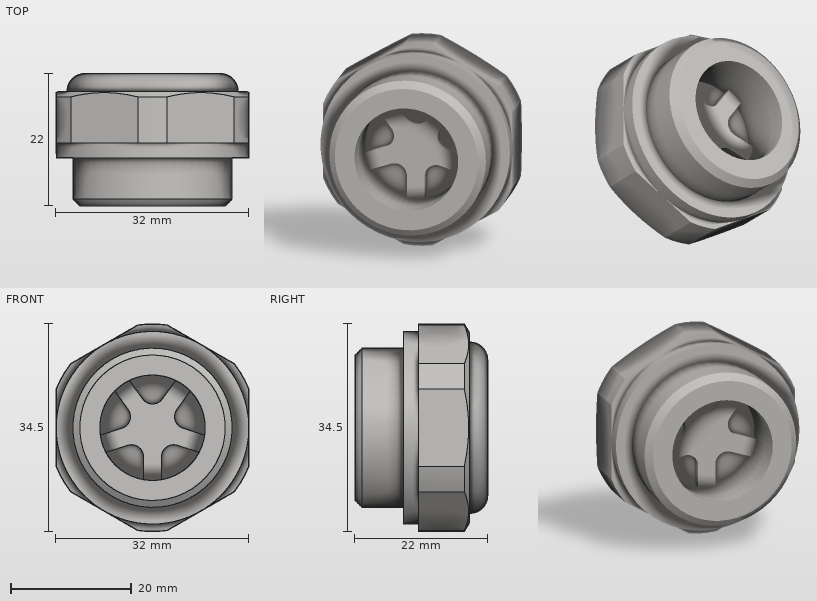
import cadquery as cq
import math

thread_diameter = 26.44
thread_length = 8.0
thread_chamfer = 1.15

flange_diameter = 32.0
flange_thickness = 2.5

hex_sides = 6
hex_across_flats = 32.0
hex_corner_diameter = 34.48
hex_height = 8.5
hex_crown_diameter = 31.4
hex_crown_angle = 30.0

dome_diameter = 28.44
dome_height = 3.0

bore_diameter = 17.5
bore_depth = 10.0

spoke_count = 5
spoke_width = 3.0
spoke_height = 1.5
spoke_corner_radius = 2.0

thread_end_y = -thread_length
hex_start_y = flange_thickness
hex_end_y = hex_start_y + hex_height
dome_end_y = hex_end_y + dome_height
bore_floor_y = thread_end_y + bore_depth
spoke_face_y = bore_floor_y - spoke_height


def cylinder(diameter, start_y, end_y):
    """Solid cylinder on the Y axis between two Y stations."""
    plane = cq.Workplane("XZ", origin=(0, start_y, 0))
    return plane.circle(diameter / 2).extrude(start_y - end_y)


def threaded_end():
    """Plain shank with a chamfered free end."""
    shank = cylinder(thread_diameter, thread_end_y, 0)
    return shank.faces("<Y").chamfer(thread_chamfer)


def hexagon():
    """Hexagon with flats facing +X and -X, rounded corners and a conical crown."""
    across_corners = hex_across_flats / math.cos(math.pi / hex_sides)
    prism = (
        cq.Workplane("XZ", origin=(0, hex_start_y, 0))
        .transformed(rotate=(0, 0, 90))
        .polygon(hex_sides, across_corners)
        .extrude(-hex_height)
    )
    corner_radius = hex_corner_diameter / 2
    crown_radius = hex_crown_diameter / 2
    crown_drop = (corner_radius - crown_radius) * math.tan(math.radians(hex_crown_angle))
    envelope = (
        cq.Workplane("XY")
        .moveTo(0, hex_start_y)
        .lineTo(corner_radius, hex_start_y)
        .lineTo(corner_radius, hex_end_y - crown_drop)
        .lineTo(crown_radius, hex_end_y)
        .lineTo(0, hex_end_y)
        .close()
        .revolve(360, (0, 0, 0), (0, 1, 0))
    )
    return prism.intersect(envelope)


def dome():
    """Low cap whose side is a full quarter round."""
    outer_radius = dome_diameter / 2
    flat_radius = outer_radius - dome_height
    arc_reach = dome_height * math.sqrt(0.5)
    return (
        cq.Workplane("XY")
        .moveTo(0, hex_end_y)
        .lineTo(outer_radius, hex_end_y)
        .threePointArc((flat_radius + arc_reach, hex_end_y + arc_reach), (flat_radius, dome_end_y))
        .lineTo(0, dome_end_y)
        .close()
        .revolve(360, (0, 0, 0), (0, 1, 0))
    )


def spoke_window(direction):
    """Opening between two neighbouring spokes, centred on a direction in degrees from +X to +Z."""
    half_angle = math.pi / spoke_count
    apex = spoke_width / 2 / math.sin(half_angle)
    far_x = apex + bore_diameter
    far_z = bore_diameter * math.tan(half_angle)
    wedge = (
        cq.Workplane("XZ", origin=(0, spoke_face_y, 0))
        .moveTo(apex, 0)
        .lineTo(far_x, -far_z)
        .lineTo(far_x, far_z)
        .close()
        .extrude(-spoke_height)
        .edges("|Y and <X")
        .fillet(spoke_corner_radius)
    )
    return wedge.rotate((0, 0, 0), (0, -1, 0), direction)


def bore():
    """Blind bore around the spoked web that stands on its floor."""
    cavity = cylinder(bore_diameter, thread_end_y, spoke_face_y)
    web_zone = cylinder(bore_diameter, spoke_face_y, bore_floor_y)
    for index in range(spoke_count):
        direction = 90 + index * 360 / spoke_count
        cavity = cavity.union(web_zone.intersect(spoke_window(direction)))
    return cavity


flange = cylinder(flange_diameter, 0, hex_start_y)
body = threaded_end().union(flange).union(hexagon()).union(dome())
result = body.cut(bore())